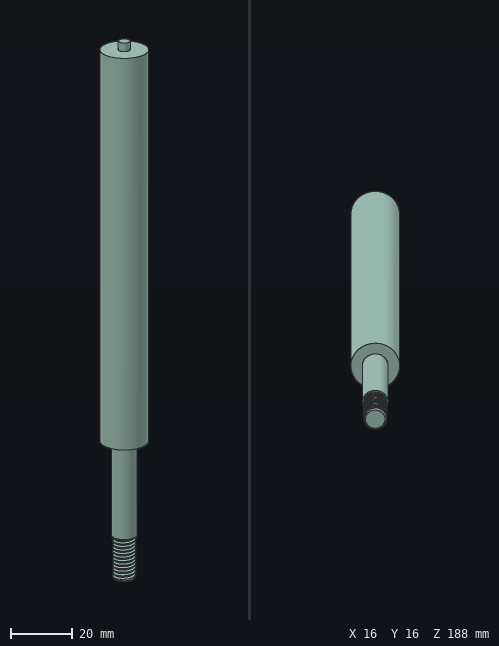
import cadquery as cq

total_length = 188.0
peg_length = 3.0
thread_length = 15.0
rod_length = 32.9
body_length = total_length - peg_length - rod_length - thread_length

body_diameter = 16.0
rod_diameter = 8.5
peg_diameter = 4.0

thread_diameter = 7.5
thread_pitch = 1.25
thread_depth = 0.8
groove_mouth = 1.05
groove_floor = 0.2
cutter_overlap = 0.2
thread_start = 0.5
end_chamfer = 0.5


def cylinder(diameter, length, bottom):
    return cq.Workplane("XY").workplane(offset=bottom).circle(diameter / 2).extrude(length)


def thread_groove():
    """Helical V groove that starts just above the end and stops at the rod."""
    root_radius = thread_diameter / 2 - thread_depth
    outer_radius = thread_diameter / 2 + cutter_overlap
    flank_slope = (groove_mouth - groove_floor) / 2 / thread_depth
    floor_half = groove_floor / 2
    outer_half = groove_mouth / 2 + flank_slope * cutter_overlap
    helix_height = thread_length - thread_start - outer_half
    helix = cq.Wire.makeHelix(thread_pitch, helix_height, root_radius)
    profile = (
        cq.Workplane("XZ")
        .moveTo(root_radius, -floor_half)
        .lineTo(outer_radius, -outer_half)
        .lineTo(outer_radius, outer_half)
        .lineTo(root_radius, floor_half)
        .close()
    )
    groove = profile.sweep(cq.Workplane(helix), isFrenet=True)
    return groove.translate((0, 0, thread_start))


def threaded_end():
    blank = cylinder(thread_diameter, thread_length, 0).faces("<Z").chamfer(end_chamfer)
    return blank.cut(thread_groove())


rod_bottom = thread_length
body_bottom = rod_bottom + rod_length
peg_bottom = body_bottom + body_length

result = (
    cylinder(rod_diameter, rod_length, rod_bottom)
    .union(cylinder(body_diameter, body_length, body_bottom))
    .union(cylinder(peg_diameter, peg_length, peg_bottom))
    .union(threaded_end())
)